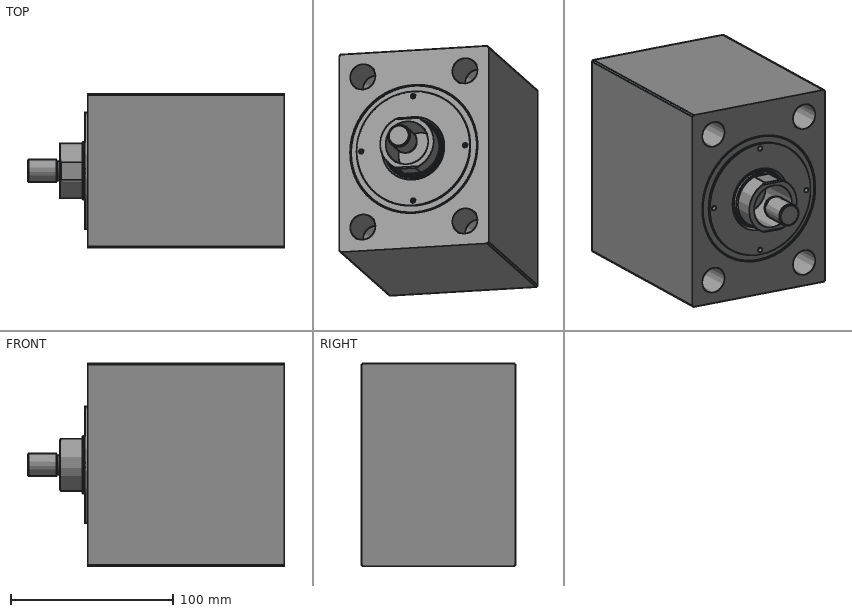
import cadquery as cq
import math


TOTAL_LENGTH = 158.0
HOUSING_LENGTH = 121.0
HOUSING_WIDTH = 95.0
HOUSING_HEIGHT = 125.0
HOUSING_CHAMFER = 1.0

MOUNT_HOLE_DIAMETER = 16.0
MOUNT_HOLE_DEPTH = 31.6
MOUNT_SPACING_Y = 65.0
MOUNT_SPACING_Z = 95.0
DRILL_POINT_ANGLE = 118.0

GLAND_DIAMETER = 80.0
GLAND_DEPTH = 25.0
SEAT_CHAMFER = 0.6
SPIGOT_DIAMETER = 72.0
SPIGOT_HEIGHT = 1.7
SPANNER_HOLE_COUNT = 4
SPANNER_HOLE_DIAMETER = 2.8
SPANNER_HOLE_RADIUS = 33.0
SPANNER_HOLE_DEPTH = 4.0

WIPER_DIAMETER = 35.7
WIPER_SHOULDER_HEIGHT = 1.1
WIPER_TIP_HEIGHT = 1.7
GROOVE_DIAMETER = 39.8
GROOVE_FLOOR_DIAMETER = 37.1
GROOVE_DEPTH = 1.5

ROD_DIAMETER = 34.0
ROD_REACH = 17.0
ROD_BORE_DIAMETER = 27.0
ROD_BORE_DEPTH = 31.6
FLAT_WIDTH = 32.2
FLAT_LENGTH = 13.6
FLAT_CHAMFER_HEIGHT = 1.0
FLAT_CHAMFER_LENGTH = 0.6

STUD_DIAMETER = 14.0
STUD_LENGTH = 19.8
STUD_CHAMFER = 0.8
NECK_DIAMETER = 12.0
NECK_LENGTH = 1.3
NECK_TAPER_LENGTH = 0.6
NECK_FLARE_DIAMETER = 12.5
NECK_FLARE_LENGTH = 0.3

SPIGOT_FACE_X = -SPIGOT_HEIGHT
ROD_FACE_X = -ROD_REACH
STUD_TIP_X = HOUSING_LENGTH - TOTAL_LENGTH


def revolve_about_x(points):
    """Solid of revolution about the X axis from (x, radius) points."""
    return cq.Workplane("XY").polyline(points).close().revolve(360, (0, 0, 0), (1, 0, 0))


def cylinder_along_x(start_x, length, diameter):
    """Cylinder on the X axis, growing towards +X from start_x."""
    return cq.Workplane("YZ", origin=(start_x, 0, 0)).circle(diameter / 2).extrude(length)


def drilled_hole(start_x, depth, diameter):
    """Cutter on the X axis for a blind hole that ends in a drill point."""
    radius = diameter / 2
    point_length = radius / math.tan(math.radians(DRILL_POINT_ANGLE / 2))
    return revolve_about_x([
        (start_x, 0),
        (start_x, radius),
        (start_x + depth, radius),
        (start_x + depth + point_length, 0),
    ])


def make_housing():
    block = (
        cq.Workplane("YZ")
        .rect(HOUSING_WIDTH, HOUSING_HEIGHT)
        .extrude(HOUSING_LENGTH)
        .edges("|X")
        .chamfer(HOUSING_CHAMFER)
    )
    seat_radius = GLAND_DIAMETER / 2
    gland_seat = revolve_about_x([
        (0, 0),
        (0, seat_radius + SEAT_CHAMFER),
        (SEAT_CHAMFER, seat_radius),
        (GLAND_DEPTH, seat_radius),
        (GLAND_DEPTH, 0),
    ])
    block = block.cut(gland_seat)
    mount_hole = drilled_hole(0, MOUNT_HOLE_DEPTH, MOUNT_HOLE_DIAMETER)
    for side_y in (-1, 1):
        for side_z in (-1, 1):
            offset = (0, side_y * MOUNT_SPACING_Y / 2, side_z * MOUNT_SPACING_Z / 2)
            block = block.cut(mount_hole.translate(offset))
    return block


def make_gland():
    rod_radius = ROD_DIAMETER / 2
    gland = revolve_about_x([
        (SPIGOT_FACE_X - WIPER_TIP_HEIGHT, rod_radius),
        (SPIGOT_FACE_X - WIPER_SHOULDER_HEIGHT, WIPER_DIAMETER / 2),
        (SPIGOT_FACE_X + GROOVE_DEPTH, WIPER_DIAMETER / 2),
        (SPIGOT_FACE_X + GROOVE_DEPTH, GROOVE_FLOOR_DIAMETER / 2),
        (SPIGOT_FACE_X, GROOVE_DIAMETER / 2),
        (SPIGOT_FACE_X, SPIGOT_DIAMETER / 2),
        (0, SPIGOT_DIAMETER / 2),
        (0, GLAND_DIAMETER / 2),
        (GLAND_DEPTH, GLAND_DIAMETER / 2),
        (GLAND_DEPTH, rod_radius),
    ])
    spanner_hole = drilled_hole(SPIGOT_FACE_X, SPANNER_HOLE_DEPTH, SPANNER_HOLE_DIAMETER)
    spanner_hole = spanner_hole.translate((0, SPANNER_HOLE_RADIUS, 0))
    for index in range(SPANNER_HOLE_COUNT):
        angle = index * 360 / SPANNER_HOLE_COUNT
        gland = gland.cut(spanner_hole.rotate((0, 0, 0), (1, 0, 0), angle))
    return gland


def make_rod():
    rod = cylinder_along_x(ROD_FACE_X, ROD_REACH + GLAND_DEPTH, ROD_DIAMETER)
    rod = rod.cut(cylinder_along_x(ROD_FACE_X, ROD_BORE_DEPTH, ROD_BORE_DIAMETER))
    flat_z = FLAT_WIDTH / 2
    flat_cutter = (
        cq.Workplane("XZ")
        .polyline([
            (ROD_FACE_X, ROD_DIAMETER),
            (ROD_FACE_X, flat_z - FLAT_CHAMFER_HEIGHT),
            (ROD_FACE_X + FLAT_CHAMFER_LENGTH, flat_z),
            (ROD_FACE_X + FLAT_LENGTH, flat_z),
            (ROD_FACE_X + FLAT_LENGTH, ROD_DIAMETER),
        ])
        .close()
        .extrude(ROD_DIAMETER / 2, both=True)
    )
    return rod.cut(flat_cutter).cut(flat_cutter.mirror("XY"))


def make_stud():
    stud_radius = STUD_DIAMETER / 2
    neck_radius = NECK_DIAMETER / 2
    stud_end_x = STUD_TIP_X + STUD_LENGTH
    neck_end_x = stud_end_x - NECK_FLARE_LENGTH
    neck_start_x = neck_end_x - NECK_LENGTH
    return revolve_about_x([
        (STUD_TIP_X, 0),
        (STUD_TIP_X, stud_radius - STUD_CHAMFER),
        (STUD_TIP_X + STUD_CHAMFER, stud_radius),
        (neck_start_x - NECK_TAPER_LENGTH, stud_radius),
        (neck_start_x, neck_radius),
        (neck_end_x, neck_radius),
        (stud_end_x, NECK_FLARE_DIAMETER / 2),
        (stud_end_x, 0),
    ])


housing = make_housing()
gland = make_gland()
rod = make_rod()
stud = make_stud()

result = cq.Compound.makeCompound([housing.val(), gland.val(), rod.val(), stud.val()])